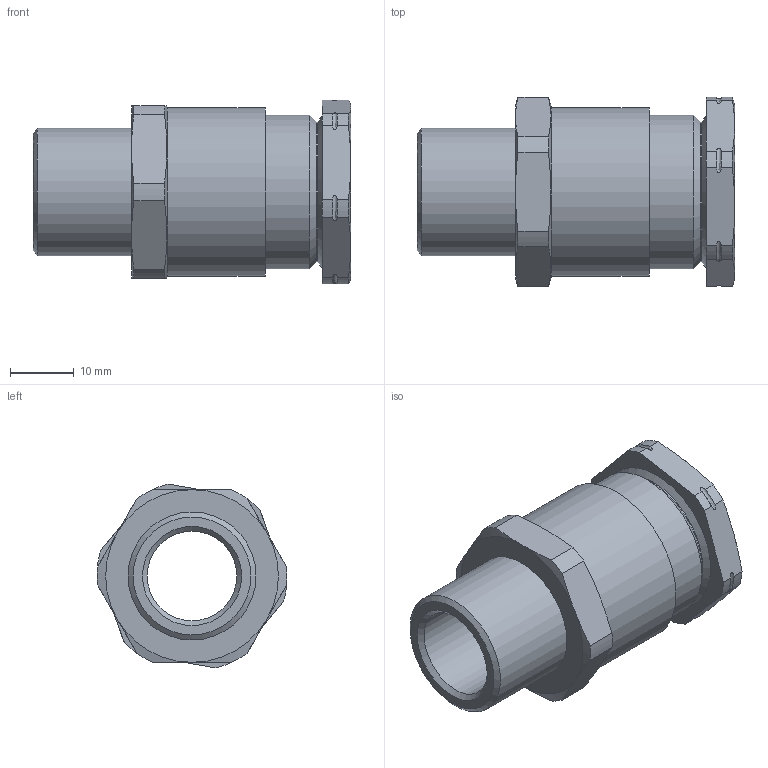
import cadquery as cq
import math

total_length = 49.6

spigot_radius = 10.0
spigot_length = 15.35
spigot_chamfer_depth = 0.8
spigot_chamfer_length = 0.65

bore_radius = 7.0
bore_chamfer = 0.75

across_flats = 27.0
flat_radius = across_flats / 2
corner_radius = 14.85
hex_chamfer_angle = 15.0

body_hex_width = 5.6
body_hex_end = spigot_length + body_hex_width
barrel_radius = 13.2
barrel_end = 36.25
rear_barrel_radius = 12.0
rear_chamfer = 1.1
rear_barrel_end = 44.25

neck_radius = rear_barrel_radius - rear_chamfer
neck_width = 0.2
nut_cone_radius = 11.95
nut_width = 4.45
nut_start = total_length - nut_width
nut_turn = 10.0

groove_radius = 0.37
groove_depth = 0.3
groove_station = 47.15


def revolve_about_x(profile):
    """Revolve a closed (X, radius) profile about the X axis."""
    return profile.close().revolve(360, (0, 0, 0), (1, 0, 0))


def hex_bar(start, width, turn):
    """Hexagonal prism along X, two flats facing +Z and -Z before it is turned about X."""
    across_corners = across_flats / math.cos(math.radians(30))
    prism = cq.Workplane("YZ").polygon(6, across_corners).extrude(width)
    return prism.rotate((0, 0, 0), (1, 0, 0), turn).translate((start, 0, 0))


def chamfer_length(face_radius):
    """Axial length of a hexagon chamfer that meets the end face at face_radius."""
    return (corner_radius - face_radius) * math.tan(math.radians(hex_chamfer_angle))


def make_turned_body():
    profile = (
        cq.Workplane("XY")
        .lineTo(0, spigot_radius - spigot_chamfer_depth)
        .lineTo(spigot_chamfer_length, spigot_radius)
        .lineTo(spigot_length, spigot_radius)
        .lineTo(spigot_length, barrel_radius)
        .lineTo(barrel_end, barrel_radius)
        .lineTo(barrel_end, rear_barrel_radius)
        .lineTo(rear_barrel_end - rear_chamfer, rear_barrel_radius)
        .lineTo(rear_barrel_end, neck_radius)
        .lineTo(rear_barrel_end + neck_width, neck_radius)
        .lineTo(nut_start, nut_cone_radius)
        .lineTo(total_length, nut_cone_radius)
        .lineTo(total_length, 0)
    )
    return revolve_about_x(profile)


def make_body_hex():
    """Body hexagon, chamfered on both sides; the right chamfer runs down to the barrel."""
    envelope = (
        cq.Workplane("XY")
        .moveTo(spigot_length, 0)
        .lineTo(spigot_length, flat_radius)
        .lineTo(spigot_length + chamfer_length(flat_radius), corner_radius)
        .lineTo(body_hex_end - chamfer_length(barrel_radius), corner_radius)
        .lineTo(body_hex_end, barrel_radius)
        .lineTo(body_hex_end, 0)
    )
    return hex_bar(spigot_length, body_hex_width, 0).intersect(revolve_about_x(envelope))


def make_nut_hex():
    """Cap nut hexagon, chamfered on the outer face and grooved around its corners."""
    envelope = (
        cq.Workplane("XY")
        .moveTo(nut_start, 0)
        .lineTo(nut_start, corner_radius)
        .lineTo(total_length - chamfer_length(flat_radius), corner_radius)
        .lineTo(total_length, flat_radius)
        .lineTo(total_length, 0)
    )
    groove_centre = corner_radius - groove_depth + groove_radius
    groove = (
        cq.Workplane("XY")
        .center(groove_station, groove_centre)
        .circle(groove_radius)
        .revolve(360, (0, -groove_centre, 0), (1, -groove_centre, 0))
    )
    nut = hex_bar(nut_start, nut_width, nut_turn)
    return nut.intersect(revolve_about_x(envelope)).cut(groove)


def make_bore():
    profile = (
        cq.Workplane("XY")
        .lineTo(0, bore_radius + bore_chamfer)
        .lineTo(bore_chamfer, bore_radius)
        .lineTo(total_length, bore_radius)
        .lineTo(total_length, 0)
    )
    return revolve_about_x(profile)


result = make_turned_body().union(make_body_hex()).union(make_nut_hex()).cut(make_bore())